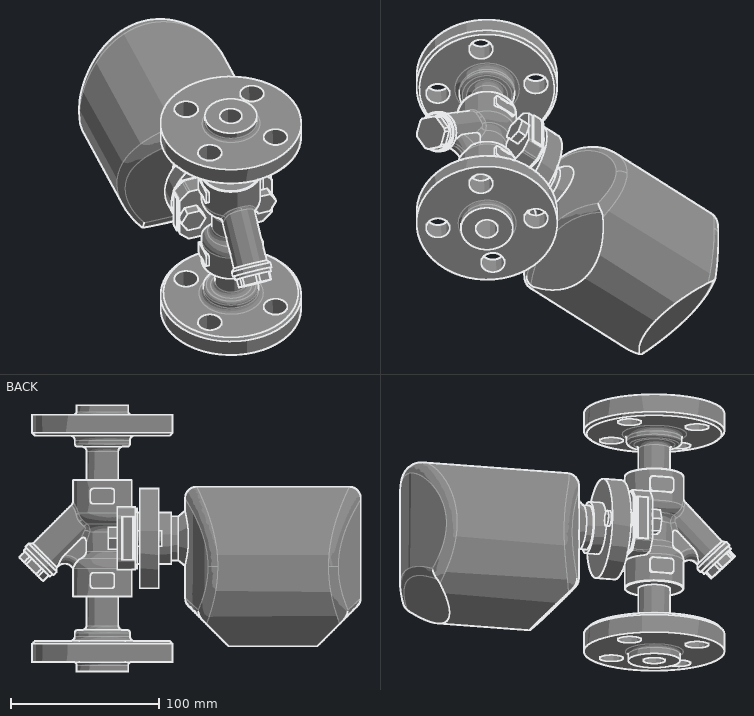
import cadquery as cq
import math


HEX_SIDES = 6

OVERALL_HEIGHT = 180.0
HALF_HEIGHT = OVERALL_HEIGHT / 2
RAISED_FACE_DIAMETER = 35.1
RAISED_FACE_HEIGHT = 6.4
RAISED_FACE_FILLET = 2.0
FLANGE_DIAMETER = 95.2
FLANGE_THICKNESS = 14.3
FLANGE_CHAMFER = 2.0
BOLT_HOLE_DIAMETER = 16.0
BOLT_CIRCLE_DIAMETER = 66.7
BOLT_HOLE_COUNT = 4
FIRST_BOLT_ANGLE = 45.0
HUB_DIAMETER = 37.5
HUB_LENGTH = 7.4
HUB_ROOT_FILLET = 3.0
HUB_EDGE_FILLET = 2.0
PIPE_DIAMETER = 21.7
PIPE_INNER_Z = 35.0
BORE_DIAMETER = 15.0
BORE_DEPTH = 50.0

BODY_DIAMETER = 40.0
BODY_HALF_LENGTH = 39.6
BODY_END_CHAMFER = 0.5
WAIST_DIAMETER = 26.0
UPPER_SHOULDER_Z = 17.2
UPPER_WAIST_Z = 4.6
LOWER_WAIST_Z = -8.6
LOWER_SHOULDER_Z = -20.3
SHOULDER_SPLIT = 0.58

PAD_WIDTH = 16.2
PAD_HEIGHT = 10.4
PAD_CORNER = 2.0
PAD_Z = 28.5
PAD_FACE_Y = 20.5

BRANCH_ANGLE = 45.0
BRANCH_START_Z = 27.3
BRANCH_DIAMETER = 23.0
BRANCH_START = 11.5
BRANCH_END = 54.9
BRANCH_ROOT_FILLET = 3.0
WEB_THICKNESS = 14.0
WEB_EDGE_FILLET = 6.0
WEB_TIP_X = 30.6
WEB_CROWN_X = 26.0
WEB_CROWN_Z = -17.2
COLLAR_DIAMETER = 27.0
COLLAR_CONE_END = 57.0
COLLAR_END = 60.2
SEAL_DIAMETER = 25.0
SEAL_END = 62.7
PLUG_DIAMETER = 23.0
PLUG_FLATS = 21.0
PLUG_END = 68.2

EAR_LEFT_X = -22.3
EAR_RIGHT_X = -10.1
EAR_HALF_HEIGHT = 21.2
EAR_TOP_HALF_WIDTH = 26.6
EAR_HALF_WIDTH = 33.2
EAR_CORNER_FILLET = 2.0
EAR_PAD_LEFT_X = -21.1
EAR_PAD_RIGHT_X = -13.0
EAR_PAD_HALF_HEIGHT = 14.5
EAR_PAD_PROUD = 0.8
EAR_PAD_CHAMFER = 0.7
FACE_PLATE_LEFT_X = -23.4
FACE_PLATE_INSET = 0.8

DISC_LEFT_X = -38.2
DISC_RIGHT_X = -25.2
DISC_DIAMETER = 67.5
BOLT_DIAMETER = 10.5
BOLT_OFFSET_Y = 25.4
BOLT_LEFT_X = -40.2
NUT_RIGHT_X = -3.8
NUT_FLATS = 15.0

SPIGOT_DIAMETER = 35.0
SPIGOT_LEFT_X = -46.6
NECK_DIAMETER = 30.0
NECK_LEFT_X = -51.3
NECK_CONE_LENGTH = 9.0
NECK_CONE_GROWTH = 7.7

HOUSING_DIAMETER = 108.0
HOUSING_LEFT_X = -174.7
HOUSING_RIGHT_X = -55.7
HOUSING_Z = -19.0
HOUSING_END_RADIUS = 90.0
HOUSING_EDGE_FILLET = 8.0
PLAN_MARGIN = 10.0
HOUSING_CORNER_CUT = 29.6


def x_cylinder(diameter, x_start, x_end, y=0.0, z=0.0):
    """Cylinder along X between two X positions."""
    return (
        cq.Workplane("YZ", origin=(x_start, y, z))
        .circle(diameter / 2)
        .extrude(x_end - x_start)
    )


def make_top_flange():
    """Flange with raised face, hub and pipe stub, turned about Z."""
    face_z = HALF_HEIGHT - RAISED_FACE_HEIGHT
    back_z = face_z - FLANGE_THICKNESS
    hub_z = back_z - HUB_LENGTH
    face_r = RAISED_FACE_DIAMETER / 2
    flange_r = FLANGE_DIAMETER / 2
    hub_r = HUB_DIAMETER / 2
    pipe_r = PIPE_DIAMETER / 2
    profile = (
        cq.Workplane("XZ")
        .moveTo(0, HALF_HEIGHT)
        .lineTo(face_r, HALF_HEIGHT)
        .lineTo(face_r, face_z + RAISED_FACE_FILLET)
        .radiusArc((face_r + RAISED_FACE_FILLET, face_z), -RAISED_FACE_FILLET)
        .lineTo(flange_r, face_z)
        .lineTo(flange_r, back_z + FLANGE_CHAMFER)
        .lineTo(flange_r - FLANGE_CHAMFER, back_z)
        .lineTo(hub_r + HUB_ROOT_FILLET, back_z)
        .radiusArc((hub_r, back_z - HUB_ROOT_FILLET), -HUB_ROOT_FILLET)
        .lineTo(hub_r, hub_z + HUB_EDGE_FILLET)
        .radiusArc((hub_r - HUB_EDGE_FILLET, hub_z), HUB_EDGE_FILLET)
        .lineTo(pipe_r + HUB_ROOT_FILLET, hub_z)
        .radiusArc((pipe_r, hub_z - HUB_ROOT_FILLET), -HUB_ROOT_FILLET)
        .lineTo(pipe_r, PIPE_INNER_Z)
        .lineTo(0, PIPE_INNER_Z)
        .close()
    )
    flange = profile.revolve(360, (0, 0, 0), (0, 1, 0))
    bolt_holes = (
        cq.Workplane("XY", origin=(0, 0, hub_z))
        .polarArray(BOLT_CIRCLE_DIAMETER / 2, FIRST_BOLT_ANGLE, 360, BOLT_HOLE_COUNT)
        .circle(BOLT_HOLE_DIAMETER / 2)
        .extrude(HALF_HEIGHT - hub_z)
    )
    return flange.cut(bolt_holes)


def make_bore():
    """Blind bore from the top face."""
    return (
        cq.Workplane("XY", origin=(0, 0, HALF_HEIGHT - BORE_DEPTH))
        .circle(BORE_DIAMETER / 2)
        .extrude(BORE_DEPTH)
    )


def make_body():
    """Revolved valve body with S-shaped shoulders down to the waist."""
    body_r = BODY_DIAMETER / 2
    waist_r = WAIST_DIAMETER / 2
    step = body_r - waist_r
    upper_height = UPPER_SHOULDER_Z - UPPER_WAIST_Z
    lower_height = LOWER_WAIST_Z - LOWER_SHOULDER_Z
    middle_r = body_r - SHOULDER_SPLIT * step
    upper_middle_z = UPPER_SHOULDER_Z - SHOULDER_SPLIT * upper_height
    lower_middle_z = LOWER_SHOULDER_Z + SHOULDER_SPLIT * lower_height
    profile = (
        cq.Workplane("XZ")
        .moveTo(0, BODY_HALF_LENGTH)
        .lineTo(body_r - BODY_END_CHAMFER, BODY_HALF_LENGTH)
        .lineTo(body_r, BODY_HALF_LENGTH - BODY_END_CHAMFER)
        .lineTo(body_r, UPPER_SHOULDER_Z)
        .tangentArcPoint((middle_r, upper_middle_z), relative=False)
        .tangentArcPoint((waist_r, UPPER_WAIST_Z), relative=False)
        .lineTo(waist_r, LOWER_WAIST_Z)
        .tangentArcPoint((middle_r, lower_middle_z), relative=False)
        .tangentArcPoint((body_r, LOWER_SHOULDER_Z), relative=False)
        .lineTo(body_r, BODY_END_CHAMFER - BODY_HALF_LENGTH)
        .lineTo(body_r - BODY_END_CHAMFER, -BODY_HALF_LENGTH)
        .lineTo(0, -BODY_HALF_LENGTH)
        .close()
    )
    return profile.revolve(360, (0, 0, 0), (0, 1, 0))


def make_pads():
    """Blocks through each socket that stand proud on both Y sides."""
    pads = cq.Workplane("XY")
    for z in (-PAD_Z, PAD_Z):
        pad = (
            cq.Workplane("XY")
            .box(PAD_WIDTH, 2 * PAD_FACE_Y, PAD_HEIGHT)
            .edges("|Y")
            .fillet(PAD_CORNER)
            .translate((0, 0, z))
        )
        pads = pads.add(pad)
    return pads.combine()


def branch_plane(distance):
    """Plane across the branch axis, a given distance along it."""
    angle = math.radians(BRANCH_ANGLE)
    direction = (math.cos(angle), 0, -math.sin(angle))
    origin = (distance * direction[0], 0, BRANCH_START_Z + distance * direction[2])
    return cq.Plane(origin=origin, xDir=(0, 1, 0), normal=direction)


def branch_ring(diameter, start, end):
    """Cylinder on the branch axis between two distances along it."""
    return cq.Workplane(branch_plane(start)).circle(diameter / 2).extrude(end - start)


def make_branch_web():
    """Web filling the notch between the branch and the lower socket."""
    body_r = BODY_DIAMETER / 2
    underside_drop = BRANCH_DIAMETER / 2 / math.cos(math.radians(BRANCH_ANGLE))
    branch_slope = math.tan(math.radians(BRANCH_ANGLE))
    tip_z = BRANCH_START_Z - underside_drop - branch_slope * WEB_TIP_X
    return (
        cq.Workplane("XZ", origin=(0, WEB_THICKNESS / 2, 0))
        .moveTo(0, UPPER_WAIST_Z)
        .lineTo(body_r, UPPER_WAIST_Z)
        .lineTo(WEB_TIP_X, tip_z)
        .threePointArc((WEB_CROWN_X, WEB_CROWN_Z), (body_r, LOWER_SHOULDER_Z))
        .lineTo(0, LOWER_SHOULDER_Z)
        .close()
        .extrude(WEB_THICKNESS)
        .edges("%CIRCLE")
        .fillet(WEB_EDGE_FILLET)
    )


def make_branch_cap():
    """Collar, seal ring and hexagonal plug closing the branch."""
    cone = (
        cq.Workplane(branch_plane(BRANCH_END))
        .circle(BRANCH_DIAMETER / 2)
        .workplane(offset=COLLAR_CONE_END - BRANCH_END)
        .circle(COLLAR_DIAMETER / 2)
        .loft()
    )
    collar = branch_ring(COLLAR_DIAMETER, COLLAR_CONE_END, COLLAR_END)
    seal = branch_ring(SEAL_DIAMETER, COLLAR_END, SEAL_END)
    hexagon = (
        cq.Workplane(branch_plane(SEAL_END))
        .polygon(HEX_SIDES, PLUG_FLATS, circumscribed=True)
        .extrude(PLUG_END - SEAL_END)
    )
    plug = branch_ring(PLUG_DIAMETER, SEAL_END, PLUG_END).intersect(hexagon)
    return cone.union(collar).union(seal).union(plug)


def ear_plate(x_start, x_end, inset):
    """Eight-sided plate across the two bolts."""
    top = EAR_HALF_HEIGHT - inset
    width = EAR_HALF_WIDTH - inset
    top_width = EAR_TOP_HALF_WIDTH
    side = top - (width - top_width)
    outline = [
        (top_width, top),
        (width, side),
        (width, -side),
        (top_width, -top),
        (-top_width, -top),
        (-width, -side),
        (-width, side),
        (-top_width, top),
    ]
    return (
        cq.Workplane("YZ", origin=(x_start, 0, 0))
        .polyline(outline)
        .close()
        .extrude(x_end - x_start)
        .edges("|X")
        .fillet(EAR_CORNER_FILLET)
    )


def make_connector():
    """Eared plate with a thin face plate and a raised pad on each end."""
    ears = ear_plate(EAR_LEFT_X, EAR_RIGHT_X, 0.0)
    face_plate = ear_plate(FACE_PLATE_LEFT_X, EAR_LEFT_X, FACE_PLATE_INSET)
    pad_width = EAR_PAD_RIGHT_X - EAR_PAD_LEFT_X
    end_pads = (
        cq.Workplane("XY")
        .box(pad_width, 2 * (EAR_HALF_WIDTH + EAR_PAD_PROUD), 2 * EAR_PAD_HALF_HEIGHT)
        .faces("<Y or >Y")
        .edges("|Z")
        .chamfer(EAR_PAD_CHAMFER)
        .translate(((EAR_PAD_LEFT_X + EAR_PAD_RIGHT_X) / 2, 0, 0))
    )
    return ears.union(face_plate).union(end_pads)


def make_swivel_disc():
    """Round disc and spigot, held to the ears by two bolts and nuts."""
    disc = x_cylinder(DISC_DIAMETER, DISC_LEFT_X, DISC_RIGHT_X)
    spigot = x_cylinder(SPIGOT_DIAMETER, SPIGOT_LEFT_X, EAR_LEFT_X)
    joint = disc.union(spigot)
    for y in (-BOLT_OFFSET_Y, BOLT_OFFSET_Y):
        shank = x_cylinder(BOLT_DIAMETER, BOLT_LEFT_X, EAR_RIGHT_X, y)
        nut = (
            cq.Workplane("YZ", origin=(EAR_RIGHT_X, y, 0))
            .polygon(HEX_SIDES, NUT_FLATS / math.cos(math.pi / HEX_SIDES))
            .extrude(NUT_RIGHT_X - EAR_RIGHT_X)
        )
        joint = joint.union(shank).union(nut)
    return joint


def make_neck():
    """Neck that widens into the housing."""
    neck_r = NECK_DIAMETER / 2
    neck = x_cylinder(NECK_DIAMETER, NECK_LEFT_X, SPIGOT_LEFT_X)
    cone = (
        cq.Workplane("YZ", origin=(NECK_LEFT_X, 0, 0))
        .circle(neck_r)
        .workplane(offset=-NECK_CONE_LENGTH)
        .circle(neck_r + NECK_CONE_GROWTH)
        .loft()
    )
    return neck.union(cone)


def make_housing():
    """Drum cut to bowed ends and sloping lower corners, with rounded end edges."""
    radius = HOUSING_DIAMETER / 2
    top_z = HOUSING_Z + radius
    bottom_z = HOUSING_Z - radius
    drum = x_cylinder(HOUSING_DIAMETER, HOUSING_LEFT_X, HOUSING_RIGHT_X, z=HOUSING_Z)
    plan_half_width = radius + PLAN_MARGIN
    plan_sag = HOUSING_END_RADIUS - math.sqrt(HOUSING_END_RADIUS**2 - plan_half_width**2)
    plan_left_x = HOUSING_LEFT_X + plan_sag
    plan_right_x = HOUSING_RIGHT_X - plan_sag
    plan = (
        cq.Workplane("XY", origin=(0, 0, bottom_z))
        .moveTo(plan_left_x, plan_half_width)
        .lineTo(plan_right_x, plan_half_width)
        .threePointArc((HOUSING_RIGHT_X, 0), (plan_right_x, -plan_half_width))
        .lineTo(plan_left_x, -plan_half_width)
        .threePointArc((HOUSING_LEFT_X, 0), (plan_left_x, plan_half_width))
        .close()
        .extrude(HOUSING_DIAMETER)
    )
    side_outline = [
        (HOUSING_LEFT_X, top_z),
        (HOUSING_RIGHT_X, top_z),
        (HOUSING_RIGHT_X, bottom_z + HOUSING_CORNER_CUT),
        (HOUSING_RIGHT_X - HOUSING_CORNER_CUT, bottom_z),
        (HOUSING_LEFT_X + HOUSING_CORNER_CUT, bottom_z),
        (HOUSING_LEFT_X, bottom_z + HOUSING_CORNER_CUT),
    ]
    side = (
        cq.Workplane("XZ", origin=(0, radius, 0))
        .polyline(side_outline)
        .close()
        .extrude(HOUSING_DIAMETER)
    )
    cut_drum = drum.intersect(plan).intersect(side)
    above_lower_edges = cq.selectors.BoxSelector(
        (HOUSING_LEFT_X, -radius, bottom_z + HOUSING_CORNER_CUT / 2),
        (HOUSING_RIGHT_X, radius, top_z),
    )
    return cut_drum.edges("not |X").edges(above_lower_edges).fillet(HOUSING_EDGE_FILLET)


top_flange = make_top_flange()
branch_tube = branch_ring(BRANCH_DIAMETER, BRANCH_START, BRANCH_END)
body = make_body().union(branch_tube).edges("%BSPLINE").fillet(BRANCH_ROOT_FILLET)
valve = body.union(make_branch_web()).union(make_branch_cap()).union(make_pads())
valve = valve.union(top_flange).union(top_flange.mirror("XY"))
bore = make_bore()
valve = valve.cut(bore).cut(bore.mirror("XY"))
trap = make_housing().union(make_neck()).union(make_swivel_disc())
result = valve.union(make_connector()).union(trap)